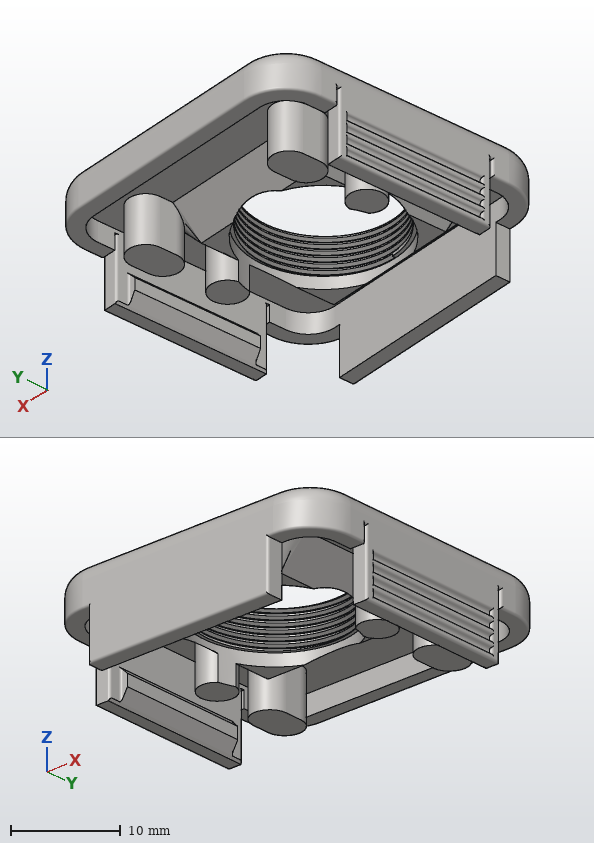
import cadquery as cq
import math

cap_length = 33.4
cap_width = 32.4
cap_height = 10.65
corner_radius = 5.0
top_round = 2.0
skirt_depth = 4.85
wall = 1.85
plate_thickness = 2.5
edge_round = 0.27

apron_length = 22.1

clip_width = 18.05
clip_bottom = 0.15
slot_width = 0.2
slot_depth = 2.95

barb_reach = 0.78
barb_width = 15.0
barb_start_depth = 6.7
barb_tip_top_depth = 7.5
barb_tip_bottom_depth = 8.85
barb_end_depth = 10.2
barb_root_round = 0.23
lead_in = 0.2

groove_count = 4
groove_pitch = 1.27
groove_first_depth = 5.73
groove_radius = 0.35
groove_length = 16.0
groove_rim_round = 0.27
groove_pad_thickness = 1.0

hole_y = -3.13
thread_minor_radius = 8.2
thread_height = 0.37
thread_pitch = 0.71
thread_root_flat = thread_pitch / 8
thread_depth = 4.27
thread_half_angle = 30
thread_start_angle = -90
thread_mouth_overlap = 0.05
relief_radius = 8.6
boss_depth = 5.7
boss_bottom_side = 15.8
boss_flare_angle = 45

post_radius = 2.0
post_depth = 8.05
round_post_x = 9.83
round_post_y = 0.0
oblong_post_x = 10.13
oblong_post_rear_y = 9.5
oblong_post_straight = 2.0

overlap = 1.0
tolerance = 0.001

half_length = cap_length / 2
half_width = cap_width / 2
inner_half_length = half_length - wall
inner_half_width = half_width - wall
clip_half_width = clip_width / 2
skirt_bottom = cap_height - skirt_depth
plate_underside = cap_height - plate_thickness
top_round_start = cap_height - top_round


def block(x_range, y_range, z_range):
    """Axis-aligned box between the given limits."""
    size = [high - low for low, high in (x_range, y_range, z_range)]
    corner = (x_range[0], y_range[0], z_range[0])
    return cq.Workplane("XY").box(*size, centered=False).translate(corner)


def both_sides(right_half):
    """The shape together with its mirror image across the YZ plane."""
    return right_half.union(right_half.mirror("YZ"))


def inner_space(z_low, z_high):
    """Box filling the room inside the walls between two heights."""
    x_range = (-inner_half_length, inner_half_length)
    y_range = (-inner_half_width, inner_half_width)
    return block(x_range, y_range, (z_low, z_high)).edges("|Z").fillet(corner_radius - wall)


def cap_block():
    """Solid cap with rounded corners and a rounded top edge."""
    cap = cq.Workplane("XY").workplane(offset=skirt_bottom).rect(cap_length, cap_width)
    cap = cap.extrude(skirt_depth).edges("|Z").fillet(corner_radius)
    return cap.faces(">Z").edges().fillet(top_round)


def apron():
    """Front wall from the skirt down to Z = 0."""
    x_range = (-apron_length / 2, apron_length / 2)
    y_range = (-half_width, -inner_half_width)
    return block(x_range, y_range, (0, skirt_bottom + overlap))


def clip():
    """Plain wall of the +X clip."""
    x_range = (inner_half_length, half_length)
    y_range = (-clip_half_width, clip_half_width)
    return block(x_range, y_range, (clip_bottom, skirt_bottom + overlap))


def clip_slots():
    """Cutters for the slots at both ends of the +X clip."""
    x_range = (inner_half_length - overlap, half_length + overlap)
    y_range = (clip_half_width, clip_half_width + slot_width)
    slot = block(x_range, y_range, (0, cap_height - slot_depth))
    return slot.union(slot.mirror("XZ"))


def is_lower_outer_edge(edge):
    """True for edges on the outside of the walls, except the corner tangent lines."""
    box = edge.BoundingBox()
    center = edge.Center()
    if box.zmax > top_round_start - tolerance:
        return False
    on_x_wall = abs(abs(center.x) - half_length) < tolerance and box.xlen < tolerance
    on_y_wall = abs(abs(center.y) - half_width) < tolerance and box.ylen < tolerance
    return on_x_wall or on_y_wall or edge.geomType() == "CIRCLE"


def is_inner_clip_edge(edge):
    """True for the vertical edges where a clip's inner face meets its end faces."""
    box = edge.BoundingBox()
    center = edge.Center()
    on_inner_face = abs(abs(center.x) - inner_half_length) < tolerance and box.xlen < tolerance
    on_end_face = abs(abs(center.y) - clip_half_width) < tolerance and box.ylen < tolerance
    return on_inner_face and on_end_face


def body_shell():
    """Hollow cap with apron and clips, their free edges rounded."""
    shell = cap_block().union(apron()).union(both_sides(clip())).cut(both_sides(clip_slots()))
    lower_edges = [edge for edge in shell.edges().vals() if is_lower_outer_edge(edge)]
    shell = shell.newObject(lower_edges).fillet(edge_round)
    shell = shell.cut(inner_space(-overlap, plate_underside))
    clip_edges = [edge for edge in shell.edges().vals() if is_inner_clip_edge(edge)]
    return shell.newObject(clip_edges).fillet(edge_round)


def barb():
    """Snap barb for the inner face of the +X clip, its ends flowing into that face."""
    tip_x = inner_half_length - barb_reach
    profile = [
        (inner_half_length, cap_height - barb_start_depth),
        (tip_x, cap_height - barb_tip_top_depth),
        (tip_x, cap_height - barb_tip_bottom_depth),
        (inner_half_length, cap_height - barb_end_depth),
    ]
    return cq.Workplane("XZ").polyline(profile).close().extrude(barb_width / 2, both=True)


def is_barb_root_edge(edge):
    """True for the edges where the ends of a barb meet the clip."""
    center = edge.Center()
    on_inner_face = abs(abs(center.x) - inner_half_length) < tolerance
    return on_inner_face and abs(abs(center.y) - barb_width / 2) < tolerance


def lead_in_wedge():
    """Cutter that continues the barb's lower slope across the bottom edge of the +X clip."""
    profile = [
        (inner_half_length, cap_height - barb_end_depth),
        (inner_half_length + lead_in, clip_bottom),
        (inner_half_length, clip_bottom),
    ]
    return cq.Workplane("XZ").polyline(profile).close().extrude(clip_half_width, both=True)


def add_barbs(shell):
    """Shell with a filleted-in barb on each clip and a lead-in below it."""
    barbed = shell.union(both_sides(barb()))
    roots = [edge for edge in barbed.edges().vals() if is_barb_root_edge(edge)]
    return barbed.newObject(roots).fillet(barb_root_round).cut(both_sides(lead_in_wedge()))


def finger_groove(depth):
    """Cutter for one half-round groove with rounded rims in the +X clip."""
    z = cap_height - depth
    x_range = (half_length - groove_pad_thickness, half_length)
    y_range = (-clip_half_width, clip_half_width)
    pad = block(x_range, y_range, (z - groove_pitch / 2, z + groove_pitch / 2))
    bar = cq.Workplane("XZ").center(half_length, z).circle(groove_radius)
    grooved = pad.cut(bar.extrude(groove_length / 2, both=True))
    rim = grooved.faces(">X").vals()[0].innerWires()[0].Edges()
    return pad.cut(grooved.newObject(rim).fillet(groove_rim_round))


def boss():
    """Square boss around the hole, flaring outward up to the plate."""
    bottom = cq.Workplane("XY").workplane(offset=cap_height - boss_depth).center(0, hole_y)
    flared = bottom.rect(boss_bottom_side, boss_bottom_side)
    flared = flared.extrude(boss_depth - plate_thickness, taper=-boss_flare_angle)
    return flared.intersect(inner_space(0, cap_height))


def posts():
    """Two round posts beside the hole and two oblong posts near the rear wall."""
    base = cq.Workplane("XY").workplane(offset=cap_height - post_depth)
    length = post_depth - plate_thickness
    round_post = base.center(round_post_x, round_post_y).circle(post_radius).extrude(length)
    oblong_y = oblong_post_rear_y - oblong_post_straight / 2
    oblong_post = base.center(oblong_post_x, oblong_y)
    oblong_post = oblong_post.slot2D(oblong_post_straight + 2 * post_radius, 2 * post_radius, 90)
    return both_sides(round_post.union(oblong_post.extrude(length)))


def hole_cylinder(radius, z_top):
    """Cylinder on the hole axis from Z = 0 up to the given height."""
    return cq.Workplane("XY").center(0, hole_y).circle(radius).extrude(z_top)


def thread_groove():
    """Helical groove of trapezoidal section, running out through the top face."""
    root_half_width = thread_root_flat / 2
    mouth_radius = thread_minor_radius - thread_mouth_overlap
    root_radius = thread_minor_radius + thread_height
    flank_slope = math.tan(math.radians(thread_half_angle))
    mouth_half_width = root_half_width + (root_radius - mouth_radius) * flank_slope
    section = [
        (mouth_radius, -mouth_half_width),
        (root_radius, -root_half_width),
        (root_radius, root_half_width),
        (mouth_radius, mouth_half_width),
    ]
    helix = cq.Wire.makeHelix(thread_pitch, thread_depth + thread_pitch, thread_minor_radius)
    groove = cq.Workplane("XZ").polyline(section).close().sweep(cq.Workplane(helix), isFrenet=True)
    groove = groove.rotate((0, 0, 0), (0, 0, 1), thread_start_angle)
    return groove.translate((0, hole_y, cap_height - thread_depth))


def threaded_hole():
    """Cutter for the threaded bore through the part."""
    bore = hole_cylinder(thread_minor_radius, cap_height + 2 * thread_pitch)
    return bore.union(thread_groove())


result = add_barbs(body_shell())
for index in range(groove_count):
    result = result.cut(both_sides(finger_groove(groove_first_depth + index * groove_pitch)))
result = result.union(boss()).union(posts())
result = result.cut(hole_cylinder(relief_radius, cap_height - thread_depth))
result = result.cut(threaded_hole())